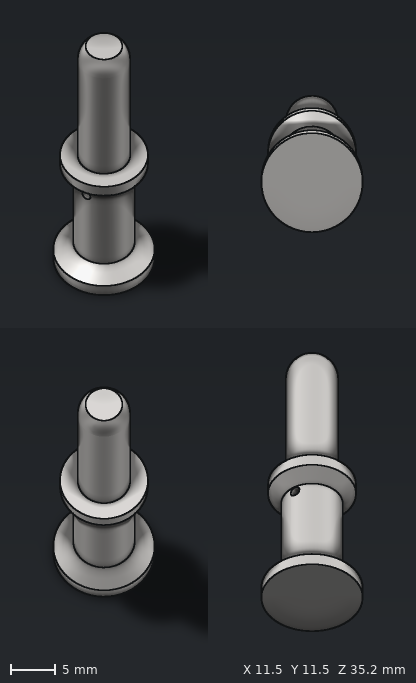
import cadquery as cq
import math

flange_diameter = 11.5
barrel_diameter = 7.0
collar_diameter = 10.0
pin_diameter = 6.0
hole_diameter = 1.15

flange_top = 1.55
flange_cone_top = 2.8
barrel_top = 14.2
collar_bottom = 15.7
collar_top = 17.2
nose_bottom = 33.05
total_height = 35.2
hole_height = 13.5

nose_radius = pin_diameter / 2
nose_height = total_height - nose_bottom
tip_radius = math.sqrt(nose_radius**2 - nose_height**2)
nose_mid_angle = math.asin(nose_height / nose_radius) / 2
nose_midpoint = (
    nose_radius * math.cos(nose_mid_angle),
    nose_bottom + nose_radius * math.sin(nose_mid_angle),
)


def turned_body():
    """Flange, barrel, collar and round-nosed pin turned about Z."""
    return (
        cq.Workplane("XZ")
        .lineTo(flange_diameter / 2, 0)
        .lineTo(flange_diameter / 2, flange_top)
        .lineTo(barrel_diameter / 2, flange_cone_top)
        .lineTo(barrel_diameter / 2, barrel_top)
        .lineTo(collar_diameter / 2, collar_bottom)
        .lineTo(collar_diameter / 2, collar_top)
        .lineTo(pin_diameter / 2, collar_top)
        .lineTo(pin_diameter / 2, nose_bottom)
        .threePointArc(nose_midpoint, (tip_radius, total_height))
        .lineTo(0, total_height)
        .close()
        .revolve(360, (0, 0, 0), (0, 1, 0))
    )


def inspection_hole():
    """Radial hole from the -Y side of the barrel to its axis."""
    return (
        cq.Workplane("XZ")
        .center(0, hole_height)
        .circle(hole_diameter / 2)
        .extrude(flange_diameter / 2)
    )


result = turned_body().cut(inspection_hole())